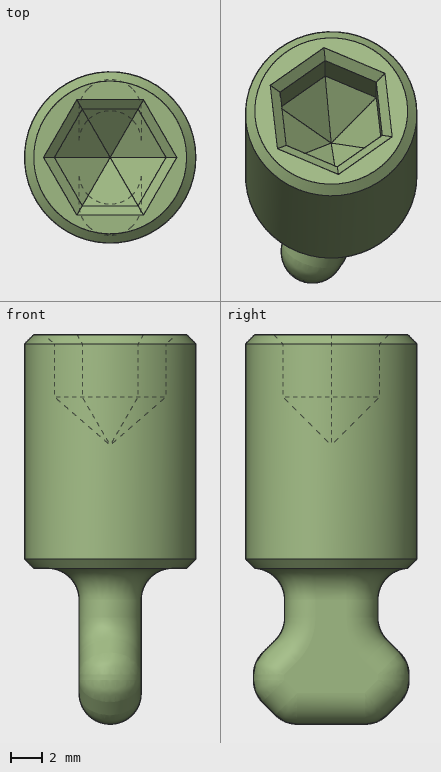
import cadquery as cq
import math

total_height = 25.0
body_radius = 5.5
body_base_z = 10.0
body_chamfer = 0.6

socket_flats = 6.2
socket_chamfer = 0.6
socket_floor_edge_z = 21.0

rim_radius = 2.0
neck_half_width = 3.0
head_half_width = 5.0
flare_radius = 2.0
bend_radius = 2.0
head_middle_z = 3.0

CORNER_TURN = 45
DOWN = -90
DOWN_OUT = DOWN + CORNER_TURN
DOWN_IN = DOWN - CORNER_TURN
INWARD = DOWN_IN - CORNER_TURN

core_neck_y = neck_half_width - rim_radius
core_head_y = head_half_width - rim_radius
core_bend_radius = bend_radius + rim_radius
neck_top_z = body_base_z - flare_radius
sin_45 = math.sin(math.radians(45))

foot = (core_neck_y + core_bend_radius * (1 - sin_45), rim_radius)
foot_middle = (0, rim_radius)
bend_end = (foot[0], 2 * head_middle_z - foot[1])
shoulder = (core_head_y, bend_end[1] - (core_head_y - bend_end[0]))
hip = (core_head_y, 2 * head_middle_z - shoulder[1])
bend_start = (core_neck_y, bend_end[1] + core_bend_radius * sin_45)
half_bend = math.radians(CORNER_TURN / 2)
bend_middle = (
    core_neck_y + core_bend_radius * (1 - math.cos(half_bend)),
    bend_start[1] - core_bend_radius * math.sin(half_bend),
)
neck_top = (core_neck_y, neck_top_z)


def rim_section(point, heading):
    """Half disc standing across the core outline, bulging outwards."""
    angle = math.radians(heading)
    plane = cq.Plane(
        origin=(0, point[0], point[1]),
        xDir=(0, -math.sin(angle), math.cos(angle)),
        normal=(0, math.cos(angle), math.sin(angle)),
    )
    return (
        cq.Workplane(plane)
        .moveTo(0, -rim_radius)
        .threePointArc((rim_radius, 0), (0, rim_radius))
        .close()
    )


def straight_rim(start, end, heading):
    """Half-round bar along a straight stretch of the core outline."""
    return rim_section(start, heading).extrude(math.dist(start, end))


def corner_rim(point, heading):
    """Ball wedge that turns the rim inwards around a core corner."""
    return rim_section(point, heading).revolve(CORNER_TURN, (0, 0), (0, -1))


def bend_rim():
    """Rim following the concave bend below the neck."""
    return rim_section(bend_start, DOWN).revolve(
        CORNER_TURN, (core_bend_radius, 0), (core_bend_radius, 1)
    )


def flare_profile(y):
    """Half section of the concave flare, from its middle plane outwards."""
    arc_offset = flare_radius * (1 - sin_45)
    return (
        cq.Workplane("XZ", origin=(0, y, 0))
        .moveTo(0, neck_top_z)
        .lineTo(rim_radius, neck_top_z)
        .threePointArc(
            (rim_radius + arc_offset, body_base_z - arc_offset),
            (rim_radius + flare_radius, body_base_z),
        )
        .lineTo(0, body_base_z)
        .close()
    )


def make_body():
    """Cylinder with both end edges chamfered."""
    return (
        cq.Workplane("XY", origin=(0, 0, body_base_z))
        .circle(body_radius)
        .extrude(total_height - body_base_z)
        .edges("%CIRCLE")
        .chamfer(body_chamfer)
    )


def hexagon(flats, z):
    """Hexagon sketch with two corners on the X axis."""
    corner_diameter = flats / math.cos(math.radians(30))
    return cq.Workplane("XY", origin=(0, 0, z)).polygon(6, corner_diameter)


def pyramid_pit(flats, z):
    """Six-sided pit with 45 degree walls that meet in a point."""
    return hexagon(flats, z).extrude(-flats / 2, taper=45)


def make_socket():
    """Hexagonal hole with a 45 degree lead-in and a pointed floor."""
    mouth_flats = socket_flats + 2 * socket_chamfer
    straight_depth = total_height - socket_floor_edge_z
    return (
        hexagon(socket_flats, total_height)
        .extrude(-straight_depth)
        .union(pyramid_pit(mouth_flats, total_height))
        .union(pyramid_pit(socket_flats, socket_floor_edge_z))
    )


def make_flare():
    """Concave flare from the neck to the body, kept inside the body's lower face."""
    middle = flare_profile(-core_neck_y).extrude(-2 * core_neck_y)
    flare = middle.union(middle.mirror("YZ"))
    for end_y in (-core_neck_y, core_neck_y):
        flare = flare.union(flare_profile(end_y).revolve(360, (0, 0), (0, 1)))
    lower_face = (
        cq.Workplane("XY", origin=(0, 0, neck_top_z))
        .circle(body_radius - body_chamfer)
        .extrude(flare_radius)
    )
    return flare.intersect(lower_face)


def make_half_bit():
    """The +Y half of the bit: flat core plus its rounded rim, walked from neck to foot."""
    core = (
        cq.Workplane("YZ", origin=(-rim_radius, 0, 0))
        .moveTo(0, neck_top_z)
        .lineTo(*neck_top)
        .lineTo(*bend_start)
        .threePointArc(bend_middle, bend_end)
        .lineTo(*shoulder)
        .lineTo(*hip)
        .lineTo(*foot)
        .lineTo(*foot_middle)
        .close()
        .extrude(2 * rim_radius)
    )
    return (
        core.union(straight_rim(neck_top, bend_start, DOWN))
        .union(bend_rim())
        .union(straight_rim(bend_end, shoulder, DOWN_OUT))
        .union(corner_rim(shoulder, DOWN_OUT))
        .union(straight_rim(shoulder, hip, DOWN))
        .union(corner_rim(hip, DOWN))
        .union(straight_rim(hip, foot, DOWN_IN))
        .union(corner_rim(foot, DOWN_IN))
        .union(straight_rim(foot, foot_middle, INWARD))
    )


half_bit = make_half_bit()
result = (
    make_body()
    .union(make_flare())
    .union(half_bit)
    .union(half_bit.mirror("XZ"))
    .cut(make_socket())
    .solids()
)